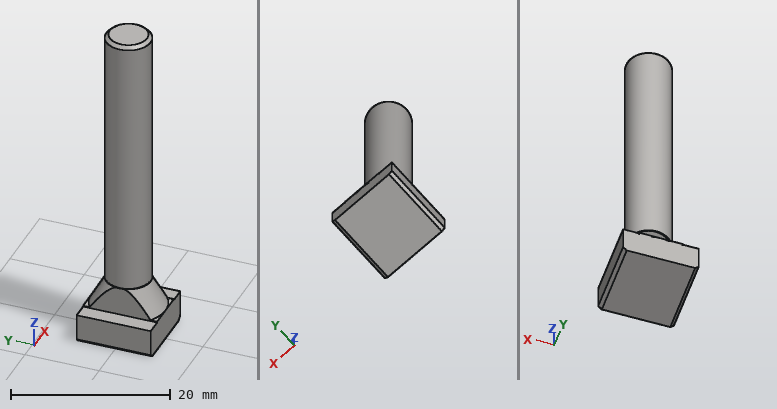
import cadquery as cq

total_height = 44.0
head_width = 10.0
shank_diameter = 6.0

head_height = 4.05
head_chamfer = 0.5

neck_width = 5.68
pad_height = 0.15
neck_top = 8.0
neck_top_diameter = 5.7

tip_chamfer = 0.5


def make_head():
    """Square block with its two bottom edges along Y chamfered."""
    block = cq.Workplane("XY").box(head_width, head_width, head_height, centered=(True, True, False))
    return block.faces("<Z").edges("|Y").chamfer(head_chamfer)


def make_pad():
    """Thin strip across the head, as wide as the neck."""
    strip = cq.Workplane("XY").box(neck_width, head_width, pad_height, centered=(True, True, False))
    return strip.translate((0, 0, head_height))


def make_neck():
    """Cone from the head width up to just inside the shank, trimmed flat on both X sides."""
    base = head_height + pad_height
    height = neck_top - base
    cone = (
        cq.Workplane("XY")
        .workplane(offset=base)
        .circle(head_width / 2)
        .workplane(offset=height)
        .circle(neck_top_diameter / 2)
        .loft(ruled=True)
    )
    slab = cq.Workplane("XY").box(neck_width, head_width, height, centered=(True, True, False))
    return cone.intersect(slab.translate((0, 0, base)))


def make_shank():
    """Round shank with a chamfered tip."""
    shank = (
        cq.Workplane("XY")
        .workplane(offset=neck_top)
        .circle(shank_diameter / 2)
        .extrude(total_height - neck_top)
    )
    return shank.faces(">Z").chamfer(tip_chamfer)


result = make_head().union(make_pad()).union(make_neck()).union(make_shank())